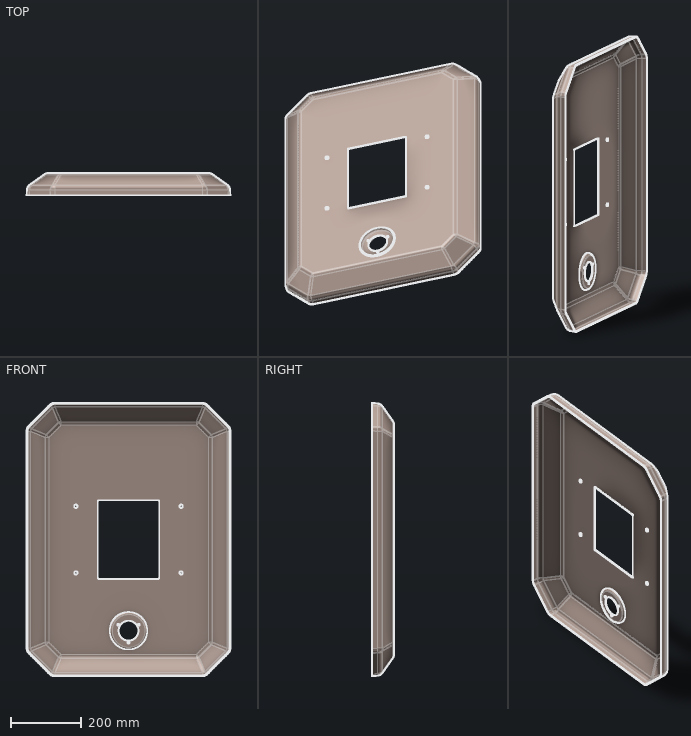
import cadquery as cq
import math

WIDTH = 582.0
HEIGHT = 780.0
DEPTH = 64.0
SHEET = 3.0
CORNER_CUT = 72.0

RIM_BAND = 25.0
RIM_DRAFT = math.radians(4.0)
SLOPE = math.radians(35.3)
BEND_RADIUS = 20.0
RIM_TOLERANCE = 0.01

WINDOW_WIDTH = 174.0
WINDOW_HEIGHT = 224.0
WINDOW_RADIUS = 2.0

MOUNT_SPACING_X = 300.0
MOUNT_SPACING_Z = 190.0
MOUNT_DIAMETER = 9.0

SEAT_Z = -260.0
SEAT_DIAMETER = 107.0
SEAT_RISE = 7.5
SEAT_EDGE_RADIUS = 6.5
SEAT_BORE = 56.0
SCREW_CIRCLE = 68.0
SCREW_DIAMETER = 4.5
SCREW_COUNT = 3

FLOOR_INNER = DEPTH - SHEET
CUT_LENGTH = 2 * DEPTH


def octagon_points(inset):
    """Corners of the rim outline moved inward by `inset`, equally on all eight sides."""
    half_x = WIDTH / 2 - inset
    half_z = HEIGHT / 2 - inset
    cut = CORNER_CUT - inset * (2 - math.sqrt(2))
    return [
        (half_x, half_z - cut),
        (half_x - cut, half_z),
        (cut - half_x, half_z),
        (-half_x, half_z - cut),
        (-half_x, cut - half_z),
        (cut - half_x, -half_z),
        (half_x - cut, -half_z),
        (half_x, cut - half_z),
    ]


def plane_at(y):
    """Sketch plane at depth y, with local x along X, local y along Z and normal along -Y."""
    return cq.Workplane("XZ", origin=(0, y, 0))


def octagon_frustum(y_start, inset_start, y_end, inset_end):
    """Solid between two octagons at different depths."""
    return (
        plane_at(y_start)
        .polyline(octagon_points(inset_start))
        .close()
        .workplane(offset=y_start - y_end)
        .polyline(octagon_points(inset_end))
        .close()
        .loft(ruled=True, combine=True)
    )


def tray_body(offset):
    """Filled tray whose faces sit `offset` inside the outer surface, open plane at y = 0."""
    draft_rate = math.tan(RIM_DRAFT)
    slope_rate = 1 / math.tan(SLOPE)

    rim_inset = offset / math.cos(RIM_DRAFT)
    slope_base = RIM_BAND * (draft_rate - slope_rate) + offset / math.sin(SLOPE)

    shoulder_y = (rim_inset - slope_base) / (slope_rate - draft_rate)
    shoulder_inset = rim_inset + shoulder_y * draft_rate
    floor_y = DEPTH - offset
    floor_inset = slope_base + floor_y * slope_rate

    band = octagon_frustum(0, rim_inset, shoulder_y, shoulder_inset)
    dome = octagon_frustum(shoulder_y, shoulder_inset, floor_y, floor_inset)
    body = band.union(dome)
    bends = body.edges().filter(lambda edge: edge.Center().y > RIM_TOLERANCE)
    return bends.fillet(BEND_RADIUS - offset)


def seat_form(offset):
    """Round-edged disc of the seat, with its faces `offset` inside the raised side."""
    base_y = FLOOR_INNER + offset
    return (
        plane_at(base_y)
        .center(0, SEAT_Z)
        .circle(SEAT_DIAMETER / 2 - offset)
        .extrude(SEAT_RISE)
        .faces("<Y")
        .edges()
        .fillet(SEAT_EDGE_RADIUS - offset)
    )


def floor_cutter():
    """Sketch plane on the rim; cutters extruded from here reach through the floor."""
    return plane_at(0)


def window():
    """Rectangular window with slightly rounded corners."""
    return (
        floor_cutter()
        .rect(WINDOW_WIDTH, WINDOW_HEIGHT)
        .extrude(-CUT_LENGTH)
        .edges("|Y")
        .fillet(WINDOW_RADIUS)
    )


def mounting_holes():
    """Four holes in a rectangle around the window."""
    return (
        floor_cutter()
        .rect(MOUNT_SPACING_X, MOUNT_SPACING_Z, forConstruction=True)
        .vertices()
        .circle(MOUNT_DIAMETER / 2)
        .extrude(-CUT_LENGTH)
    )


def seat_holes():
    """Central bore of the seat and the screw holes around it, one screw straight below."""
    bore = floor_cutter().center(0, SEAT_Z).circle(SEAT_BORE / 2).extrude(-CUT_LENGTH)
    screws = (
        floor_cutter()
        .center(0, SEAT_Z)
        .polarArray(SCREW_CIRCLE / 2, -90, 360, SCREW_COUNT)
        .circle(SCREW_DIAMETER / 2)
        .extrude(-CUT_LENGTH)
    )
    return bore.union(screws)


tray = tray_body(0).cut(tray_body(SHEET))

tray = tray.union(seat_form(0))
tray = tray.cut(seat_form(SHEET))

result = tray.cut(window()).cut(mounting_holes()).cut(seat_holes())